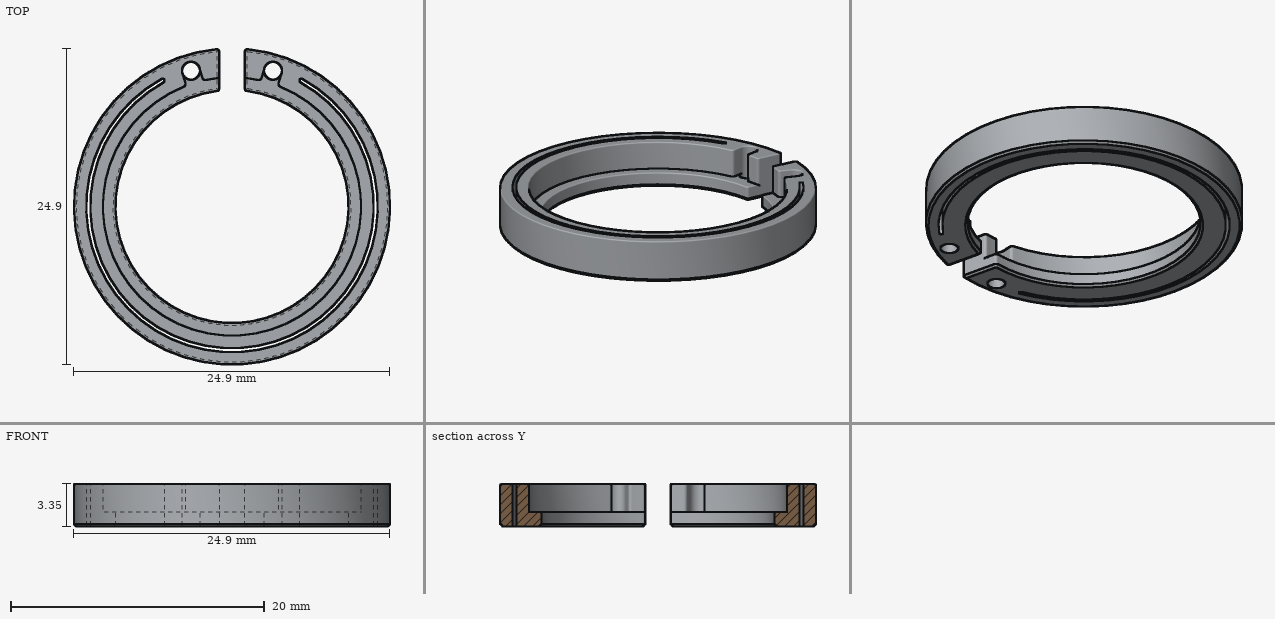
import cadquery as cq
import math

outer_radius = 12.465
height = 3.35
half_gap = 1.0
bottom_chamfer = 0.2

lip_radius = 9.175
lip_height = 1.15
recess_radius = lip_radius + 1.0

notch_radius = 0.7
notch_center_radius = recess_radius + 1.0
notch_angle = 16.8

slot_radius = 11.325
slot_width = 0.3
slot_end_angle = 28.9

gap_corner_radius = 0.22
notch_corner_radius = 0.25
edge_radius = 0.1

sides = (-1, 1)


def polar_point(radius, angle):
    """Point at an angle measured in degrees from +Y towards +X."""
    turn = math.radians(angle)
    return (radius * math.sin(turn), radius * math.cos(turn))


def gap_point(radius, side):
    """Point where a circle about the ring axis meets one face of the gap."""
    return (side * half_gap, math.sqrt(radius**2 - half_gap**2))


def split_ring(bore_radius, thickness):
    """Ring with a parallel-sided gap at +Y and rounded upright corners."""
    ring = (
        cq.Workplane("XY")
        .moveTo(*gap_point(outer_radius, 1))
        .threePointArc((0, -outer_radius), gap_point(outer_radius, -1))
        .lineTo(*gap_point(bore_radius, -1))
        .threePointArc((0, -bore_radius), gap_point(bore_radius, 1))
        .close()
        .extrude(thickness)
    )
    return ring.edges("|Z").fillet(gap_corner_radius)


def notch_back():
    """Far half of a notch hole, drawn at +Y as the start of a notch outline."""
    return (
        cq.Workplane("XY")
        .moveTo(-notch_radius, notch_center_radius)
        .threePointArc((0, notch_center_radius + notch_radius), (notch_radius, notch_center_radius))
    )


def notch_cutter(outline, side):
    """Full-height cutter from a closed outline at +Y, swung round to one notch."""
    return outline.extrude(height).rotate((0, 0, 0), (0, 0, 1), -side * notch_angle)


def make_hole(side):
    """Round hole of one notch, split at the same two points as the throat so that their walls match."""
    near_point = (0, notch_center_radius - notch_radius)
    outline = notch_back().threePointArc(near_point, (-notch_radius, notch_center_radius)).close()
    return notch_cutter(outline, side)


def make_throat(side):
    """U-shaped opening from one hole towards the ring axis."""
    outline = notch_back().lineTo(notch_radius, lip_radius).lineTo(-notch_radius, lip_radius).close()
    return notch_cutter(outline, side)


def make_base():
    """Low ring that carries the lip: chamfered all round below, rounded along its upper edges."""
    base = split_ring(lip_radius, lip_height)
    base = base.faces("<Z").edges().chamfer(bottom_chamfer)
    return base.faces(">Z").edges().fillet(edge_radius)


def make_wall():
    """Outer wall above the bottom chamfer, with both notches and rounded upper edges."""
    wall = split_ring(recess_radius, height - bottom_chamfer).translate((0, 0, bottom_chamfer))
    for side in sides:
        wall = wall.cut(make_throat(side))
    wall = wall.edges("|Z").edges(">>Y[0] or >>Y[1]").fillet(notch_corner_radius)
    return wall.faces(">Z").edges().fillet(edge_radius)


def make_slot():
    """Arc-shaped cutter with round ends, running the long way round the ring."""
    inner = slot_radius - slot_width / 2
    outer = slot_radius + slot_width / 2
    tip_angle = slot_end_angle - math.degrees(slot_width / 2 / slot_radius)
    return (
        cq.Workplane("XY")
        .moveTo(*polar_point(outer, slot_end_angle))
        .threePointArc((0, -outer), polar_point(outer, -slot_end_angle))
        .threePointArc(polar_point(slot_radius, -tip_angle), polar_point(inner, -slot_end_angle))
        .threePointArc((0, -inner), polar_point(inner, slot_end_angle))
        .threePointArc(polar_point(slot_radius, tip_angle), polar_point(outer, slot_end_angle))
        .close()
        .extrude(height)
    )


result = make_wall().union(make_base()).cut(make_slot())
for side in sides:
    result = result.cut(make_hole(side))